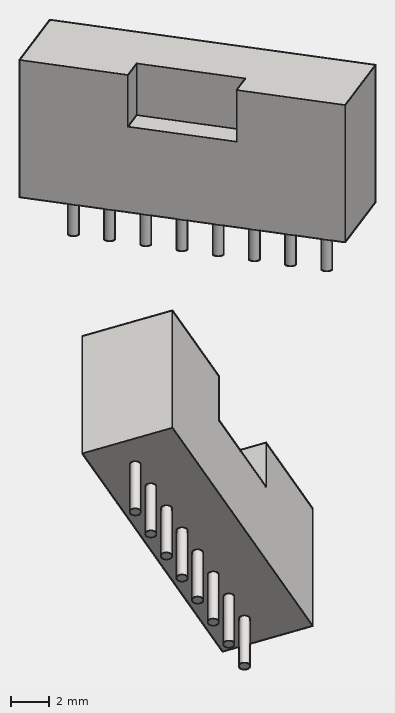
import cadquery as cq

body_length = 18.0
body_depth = 5.2
total_height = 11.2
pin_length = 3.2
body_height = total_height - pin_length

notch_width = body_length / 3
notch_depth = 1.5
notch_height = 3.0

pin_count = 8
pin_pitch = body_length / 9
pin_diameter = 0.6
pin_from_front = 3.05


def make_body():
    """Block with its front face on Y = 0 and its underside on Z = 0."""
    return cq.Workplane("XY").box(body_length, body_depth, body_height, centered=(True, False, False))


def make_notch():
    """Cutter that opens the housing to the front and the top."""
    return (
        cq.Workplane("XY")
        .workplane(offset=body_height - notch_height)
        .box(notch_width, notch_depth, notch_height, centered=(True, False, False))
    )


def make_pins():
    """Evenly spaced pins hanging from the underside, centred along X."""
    first_pin_x = -pin_pitch * (pin_count - 1) / 2
    pin_centres = [(first_pin_x + i * pin_pitch, pin_from_front) for i in range(pin_count)]
    return cq.Workplane("XY").pushPoints(pin_centres).circle(pin_diameter / 2).extrude(-pin_length)


result = make_body().cut(make_notch()).union(make_pins())